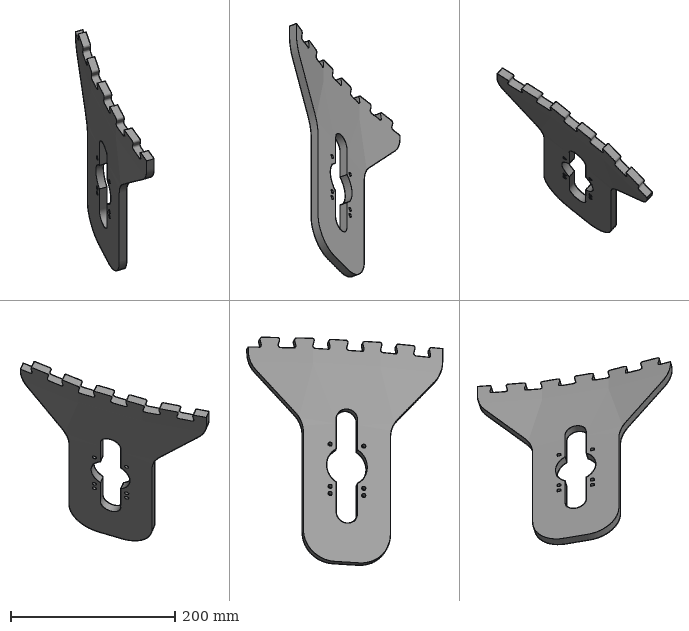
import cadquery as cq

HEIGHT = 285.8
HEAD_HALF_WIDTH = 120.5
STEM_HALF_WIDTH = 54.0
THICKNESS = 10.0
DEPTH = 20.0

FLARE_BOTTOM_Z = 177.7
FLARE_TOP_Z = 253.7
CORNER_RADIUS = 38.5

SLOT_WIDTH = 26.3
SLOT_LENGTH = 146.5
BORE_DIAMETER = 50.3
KEYHOLE_Z = 123.7
SCREW_DIAMETER = 5.0
SCREW_HALF_SPACING = 21.0
SCREW_HEIGHTS = (87.2, 96.3, 150.5)

NOTCH_COUNT = 6
NOTCH_PITCH = 42.0
LAST_NOTCH_X = 94.5
NOTCH_DEPTH = 13.0
NOTCH_MOUTH_HALF_WIDTH = 8.3
NOTCH_FLOOR_HALF_WIDTH = 11.5
NOTCH_RADIUS = 3.0
NOTCH_FLOOR_Z = HEIGHT - NOTCH_DEPTH

STRIP_HALF_FLAT = 41.7
STRIP_SETBACK = 0.5
STRIP_BOTTOM_Z = 254.0
BEND_HEIGHT = 2.0
BEND_DROP = 0.05
WEDGE_TIP_Z = 177.2
WEDGE_LOW_Z = 172.0
WEDGE_HIGH_Z = 182.0
WEDGE_LOW_X = 55.1
WEDGE_HIGH_X = 59.2
WEDGE_RISE = 0.43
SHEET_MARGIN = 8.5
PICK_MARGIN = 3.0


def front_prism(sketch):
    """Extrude a sketch of the XZ plane through the whole depth of the part."""
    return sketch.extrude(-DEPTH)


def make_outline():
    """Flat silhouette of the plate with rounded corners and dovetail notches."""
    right_side = [
        (STEM_HALF_WIDTH, 0),
        (STEM_HALF_WIDTH, FLARE_BOTTOM_Z),
        (HEAD_HALF_WIDTH, FLARE_TOP_Z),
        (HEAD_HALF_WIDTH, HEIGHT),
    ]
    left_side = [(-x, z) for x, z in reversed(right_side)]
    blank = front_prism(cq.Workplane("XZ").polyline(right_side + left_side).close())
    lower_corners = cq.selectors.BoxSelector(
        (-HEAD_HALF_WIDTH - PICK_MARGIN, -PICK_MARGIN, -PICK_MARGIN),
        (HEAD_HALF_WIDTH + PICK_MARGIN, DEPTH + PICK_MARGIN, FLARE_TOP_Z + PICK_MARGIN),
    )
    blank = blank.edges("|Y").edges(lower_corners).fillet(CORNER_RADIUS)

    for index in range(NOTCH_COUNT):
        center = LAST_NOTCH_X - index * NOTCH_PITCH
        notch = [
            (center - NOTCH_MOUTH_HALF_WIDTH, HEIGHT),
            (center + NOTCH_MOUTH_HALF_WIDTH, HEIGHT),
            (center + NOTCH_FLOOR_HALF_WIDTH, NOTCH_FLOOR_Z),
            (center - NOTCH_FLOOR_HALF_WIDTH, NOTCH_FLOOR_Z),
        ]
        blank = blank.cut(front_prism(cq.Workplane("XZ").polyline(notch).close()))

    inner_half_width = HEAD_HALF_WIDTH - NOTCH_RADIUS
    notch_corners = cq.selectors.BoxSelector(
        (-inner_half_width, -PICK_MARGIN, NOTCH_FLOOR_Z - PICK_MARGIN),
        (inner_half_width, DEPTH + PICK_MARGIN, HEIGHT + PICK_MARGIN),
    )
    return blank.edges("|Y").edges(notch_corners).fillet(NOTCH_RADIUS)


def facet(points):
    """Sheet facet: a planar (x, y, z) polygon thickened along +Y."""
    wire = cq.Wire.makePolygon([cq.Vector(*point) for point in points], close=True)
    return cq.Solid.extrudeLinear(wire, [], cq.Vector(0, THICKNESS, 0))


def mirrored(points):
    return [(-x, y, z) for x, y, z in points]


def make_bent_sheet():
    """Flat stem, wedge bends, sloping wings and upright top strip."""
    wing_slope = (DEPTH - THICKNESS - STRIP_SETBACK) / (HEAD_HALF_WIDTH - STRIP_HALF_FLAT)
    end_x = HEAD_HALF_WIDTH + SHEET_MARGIN
    end_y = STRIP_SETBACK + wing_slope * (end_x - STRIP_HALF_FLAT)
    bend_z = STRIP_BOTTOM_Z - BEND_HEIGHT

    stem_corner = (WEDGE_LOW_X, 0, 0)
    wedge_tip = (SLOT_WIDTH / 2, 0, WEDGE_TIP_Z)
    wedge_low = (WEDGE_LOW_X, 0, WEDGE_LOW_Z)
    wedge_high = (WEDGE_HIGH_X, WEDGE_RISE, WEDGE_HIGH_Z)
    bend_inner = (STRIP_HALF_FLAT, STRIP_SETBACK - BEND_DROP, bend_z)
    bend_outer = (end_x, end_y - BEND_DROP, bend_z)
    strip_inner = (STRIP_HALF_FLAT, STRIP_SETBACK, STRIP_BOTTOM_Z)
    strip_outer = (end_x, end_y, STRIP_BOTTOM_Z)
    top_inner = (STRIP_HALF_FLAT, STRIP_SETBACK, HEIGHT)
    top_outer = (end_x, end_y, HEIGHT)

    middle_halves = [
        [stem_corner, wedge_low, wedge_tip],
        [wedge_tip, bend_inner],
        [bend_inner, strip_inner],
        [strip_inner, top_inner],
    ]
    side_facets = [
        [wedge_tip, wedge_low, wedge_high],
        [wedge_tip, wedge_high, bend_inner],
        [wedge_high, bend_outer, bend_inner],
        [bend_inner, bend_outer, strip_outer, strip_inner],
        [strip_inner, strip_outer, top_outer, top_inner],
    ]
    facets = [facet(half + mirrored(reversed(half))) for half in middle_halves]
    for points in side_facets:
        facets.append(facet(points))
        facets.append(facet(mirrored(points)))

    sheet = cq.Workplane(facets[0])
    for piece in facets[1:]:
        sheet = sheet.union(cq.Workplane(piece))
    return sheet


def make_openings():
    """Keyhole slot with its round bore, and the screw holes beside it."""
    center = cq.Workplane("XZ", origin=(0, 0, KEYHOLE_Z))
    slot = front_prism(center.slot2D(SLOT_LENGTH, SLOT_WIDTH, 90))
    bore = front_prism(center.circle(BORE_DIAMETER / 2))
    screw_points = [(side * SCREW_HALF_SPACING, z) for z in SCREW_HEIGHTS for side in (-1, 1)]
    screws = front_prism(cq.Workplane("XZ").pushPoints(screw_points).circle(SCREW_DIAMETER / 2))
    return slot.union(bore).union(screws)


result = make_bent_sheet().intersect(make_outline()).cut(make_openings())